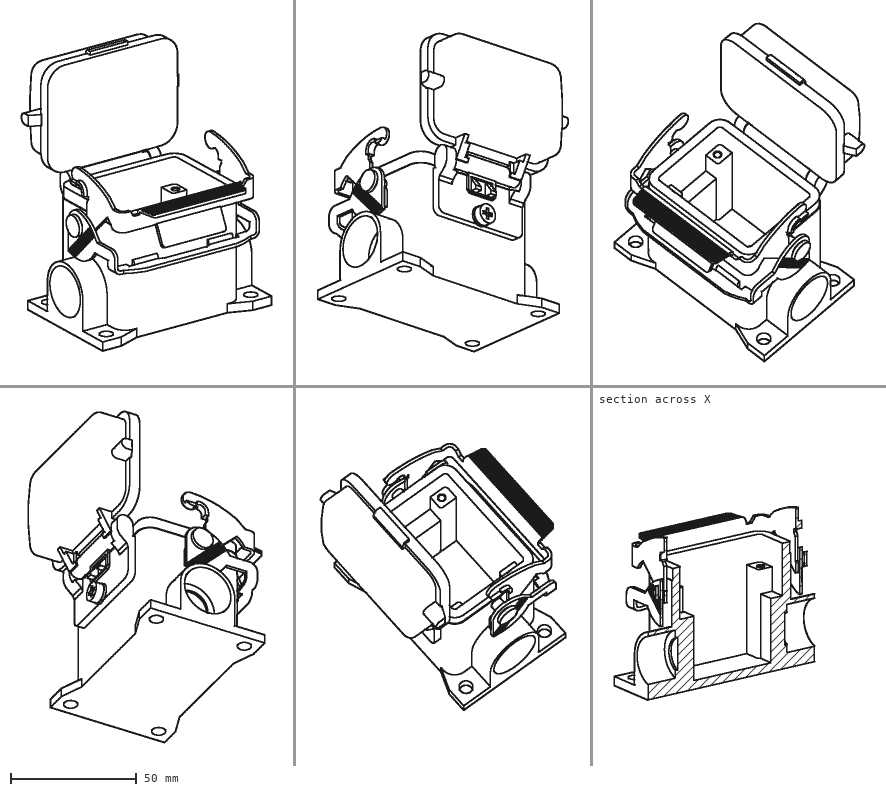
import cadquery as cq
import math

base_length = 51.9
base_width = 82.0
base_height = 3.9
base_notch_x = 22.3
base_notch_y = 22.0
base_shoulder_y = 31.8
mount_hole_diameter = 5.5
mount_hole_spacing_x = 40.0
mount_hole_spacing_y = 70.1

body_length = 44.6
body_width = 58.6
body_height = 52.8
body_corner = 6.0
rim_bottom = 47.8
rim_setback = 0.3

cavity_length = 36.2
cavity_width = 50.1
cavity_corner = 1.5
cavity_floor = base_height
ledge_top = 30.8
ledge_edges = {1: 18.4, -1: 19.4}
post_top = 41.1
post_inner_x = 10.1
post_inner_y = 18.4
post_corner = 1.0
post_hole_x = 27.0 / 2
post_hole_y = 22.0
post_hole_diameter = 2.7
post_countersink = 3.3
post_hole_depth = 10.3

entry_radius = 12.3
entry_height = 16.6
entry_bore_radius = 21.1 / 2
entry_bore_end_y = 27.5
knockout_radius = 15.1 / 2
knockout_depth = 1.0

lid_centre_z = 78.2
flange_face_x = -25.6
flange_back_x = -30.2
flange_width = 63.1
flange_height = 46.0
flange_corner = 8.2
shell_width = 56.9
shell_height = 39.9
shell_corner = 5.3
crown_x = -44.2
crown_sag = 1.6
crown_fillet = 2.8
lid_tab_width = 18.3
lid_tab_tip_x = -28.1
lid_tab_back_x = -31.6
lid_tab_slope_start_z = 99.9
lid_tab_slope_end = (-31.0, 101.7)
lid_tab_round_middle = (-30.5, 102.4)
lid_tab_round_end_x = -29.7
lid_top = 102.7
peg_span = 73.1
peg_size = 4.7
peg_back_x = -36.6
peg_tip_x = -31.8
peg_root_x = -29.6
peg_taper_y = 31.8

bracket_half_width = 22.0
bracket_outer_x = -25.6
bracket_bottom = 26.7
bracket_top = 46.2
bracket_corner = 3.1
ear_inner_y = 17.1
ear_left_x = -30.6
ear_right_x = -23.3
ear_top = 54.9
ear_foot_z = 40.4
ear_curve_top = 48.2
ear_curve_middle = (-30.2, 46.4)
ear_slope_start = (-29.3, 44.8)
ear_slope_end = (-26.3, 42.0)
ear_slope_inner_y = 15.0
barrel_radius = 3.5
barrel_z = 50.7
arm_tip_x = -36.4
arm_top = 59.1
arm_bottom = 49.1
arm_rib_inner_y = 15.0
arm_web_inner_y = 13.0
arm_lug_inner_y = 11.1
arm_web_top = 55.5
arm_lug_bottom = 50.6
lug_setback = 0.5
hinge_web_bottom = 54.0
strip_width = 16.8

catch_outer_x = -26.6
catch_width = 14.2
catch_bottom = 38.9
catch_top = 47.3
catch_corner = 1.2
catch_wall = 1.4
catch_rib_outer_y = 5.3
catch_rib_inner_y = 2.6
catch_tooth_x = -29.0
catch_tooth_bottom = 40.0
catch_tooth_shoulder = 41.5
screw_z = 30.4
screw_tip_x = -30.0
screw_radius = 4.0
washer_radius = 4.2
cross_length = 4.5
cross_width = 1.2
cross_depth = 1.2

pivot_z = 44.0
pin_radius = 2.5
collar_radius = 3.3
pin_head_radius = 4.5
pin_head_inner_y = 35.8
pin_head_outer_y = 37.3
pin_embed = 1.0

sheet = 1.4
cheek_outer_y = 33.0
cheek_inner_y = cheek_outer_y - sheet
cheek_edge_x = 3.5
tongue_left_x = -5.3
tongue_bottom = 32.5
tongue_arc_z = 39.2
tongue_corner = 2.5
tongue_right_x = -3.4
waist_bottom = 54.2
waist_top = 55.9
waist_x = 4.4
back_middle = (8.8, 64.9)
back_end = (17.6, 61.0)
back_foot_x = 21.6
heel_x = 21.3
heel_middle = (20.0, 50.6)
heel_peak = (17.7, 52.8)
hook_x = -3.2
hook_z = 63.4
hook_radius = 3.6
seat_x = -0.1
seat_z = 58.6
seat_radius = 5.0 / 2
lip_outer_y = 34.7
lip_end_z = 57.1
bail_bottom = 48.8
bail_top = 57.4
bail_outer_x = 27.0
bail_inner_x = bail_outer_x - sheet
bail_bend = 3.3
notch_root_y = 23.7
notch_floor_y = 26.4
notch_end_y = 28.3
notch_z = 55.0
handle_tip_x = 35.4
handle_root_y = 23.7
handle_tip_y = 22.3
handle_corner = 1.5
handle_bend = 2.0
groove_count = 7
groove_pitch = 1.0
groove_start_x = 28.4
groove_width = 0.5
groove_depth = 0.4
finger_half_width = 15.4
finger_tip_x = 30.2
finger_tip_z = 39.4
finger_corner = 1.5

lever_outer_y = 35.0
lever_inner_y = lever_outer_y - sheet
lever_left_x = -6.2
lever_left_bottom = 30.6
lever_shoulder_middle = (6.6, 47.9)
lever_shoulder_end = (11.9, 42.9)
lever_shoulder_foot_x = 13.7
lever_belly_start_x = 11.9
lever_belly_middle = (7.4, 31.2)
lever_belly_end = (0.5, 29.3)
lever_heel_middle = (-2.9, 29.7)
pivot_lobe_radius = 6.1
arm_upper_z = 40.9
arm_lower_z = 36.0
arm_end_x = 26.0
arm_end_radius = 3.7
foot_start_x = 21.1
foot_bend_z = 33.9
foot_bend_radius = 3.0
band_count = 6
band_pitch = 0.77
band_groove_width = 0.3
band_groove_depth = 0.3
band_half_length = 20.5
band_angle = 45.0
band_start_z = 31.1
crossbar_outer_x = 29.2
crossbar_outer_middle = (27.8, 26.8)
crossbar_outer_start_y = 30.8
crossbar_outer_end_y = 22.1
crossbar_inner_x = 23.8
crossbar_window_x = 25.0
crossbar_window_y = 10.2
crossbar_bevel_y = 12.3
crossbar_heel_x = 21.7
crossbar_heel_y = 26.5
stop_y_range = (12.3, 23.9)
stop_z_range = (29.3, 33.9)
stop_thickness = 1.1
stop_round = 1.0
stop_embed = 1.0


def box(x_range, y_range, z_range):
    """Box between two limits on every axis."""
    spans = [(min(r), max(r)) for r in (x_range, y_range, z_range)]
    size = [high - low for low, high in spans]
    start = [low for low, high in spans]
    return cq.Workplane("XY").box(*size, centered=False).translate(tuple(start))


def side_plane(y):
    """XZ sketch plane at the given Y."""
    return cq.Workplane("XZ", origin=(0, y, 0))


def along_y(sketch, y_range):
    """Extrude an XZ sketch lying at the first Y towards the second."""
    return sketch.extrude(y_range[0] - y_range[1])


def prism(points, y_range):
    """Straight-sided XZ outline extruded along Y."""
    return along_y(side_plane(y_range[0]).polyline(points).close(), y_range)


def rod(x, z, radius, y_range):
    """Cylinder along Y."""
    return along_y(side_plane(y_range[0]).center(x, z).circle(radius), y_range)


def both_sides(part):
    """Part together with its mirror image across the XZ plane."""
    return part.union(part.mirror("XZ"))


def rounded_block(length, width, height, corner, bottom):
    return (cq.Workplane("XY", origin=(0, 0, bottom)).rect(length, width).extrude(height)
            .edges("|Z").fillet(corner))


def make_housing():
    half_length = base_length / 2
    half_width = base_width / 2
    quarter = [(half_length, half_width), (half_length, base_shoulder_y), (base_notch_x, base_notch_y)]
    right = quarter + [(x, -y) for x, y in reversed(quarter)]
    left = [(-x, -y) for x, y in right]
    plate = cq.Workplane("XY").polyline(right + left).close().extrude(base_height)

    housing = plate.union(rounded_block(body_length, body_width, rim_bottom, body_corner, 0))
    housing = housing.union(rounded_block(body_length - 2 * rim_setback, body_width - 2 * rim_setback,
                                          body_height, body_corner - rim_setback, 0))

    entry_span = (-half_width, half_width)
    housing = housing.union(rod(0, entry_height, entry_radius, entry_span))
    housing = housing.union(box((-entry_radius, entry_radius), entry_span, (0, entry_height)))

    housing = housing.cut(rounded_block(cavity_length, cavity_width, body_height, cavity_corner,
                                        cavity_floor))
    housing = housing.union(make_cavity_supports())

    bore = rod(0, entry_height, entry_bore_radius, (entry_bore_end_y, half_width))
    bore = bore.union(rod(0, entry_height, knockout_radius,
                          (entry_bore_end_y - knockout_depth, half_width)))
    mount_holes = (cq.Workplane("XY").rect(mount_hole_spacing_x, mount_hole_spacing_y, forConstruction=True)
                   .vertices().circle(mount_hole_diameter / 2).extrude(base_height))
    return housing.cut(both_sides(bore)).cut(mount_holes)


def make_cavity_supports():
    """End ledges and the four screw posts inside the housing."""
    wall_x = cavity_length / 2 + cavity_corner
    wall_y = cavity_width / 2 + cavity_corner
    post = box((post_inner_x, wall_x), (post_inner_y, wall_y), (cavity_floor, post_top))
    post = post.edges("|Z and <X and <Y").fillet(post_corner)
    hole = (cq.Workplane("XY", origin=(post_hole_x, post_hole_y, post_top))
            .circle(post_hole_diameter / 2).extrude(-post_hole_depth))
    sink_depth = (post_countersink - post_hole_diameter) / 2
    sink = (cq.Workplane("XY", origin=(post_hole_x, post_hole_y, post_top))
            .circle(post_countersink / 2).extrude(-sink_depth, taper=45))
    posts = both_sides(post.cut(hole).cut(sink))
    supports = posts.union(posts.mirror("YZ"))
    for side, edge in ledge_edges.items():
        ledge = box((-post_inner_x, post_inner_x), (side * edge, side * wall_y), (cavity_floor, ledge_top))
        supports = supports.union(ledge)
    return supports


def make_lid():
    flange = (cq.Workplane("YZ", origin=(flange_back_x, 0, lid_centre_z))
              .rect(flange_width, flange_height).extrude(flange_face_x - flange_back_x)
              .edges("|X").fillet(flange_corner))

    low = lid_centre_z - shell_height / 2
    high = lid_centre_z + shell_height / 2
    crown_edge_x = crown_x + crown_sag
    outline = (side_plane(-shell_width / 2).moveTo(flange_back_x, low).lineTo(crown_edge_x, low)
               .threePointArc((crown_x, lid_centre_z), (crown_edge_x, high))
               .lineTo(flange_back_x, high).close())
    shell = along_y(outline, (-shell_width / 2, shell_width / 2))
    shell = shell.edges("|X").fillet(shell_corner)
    shell = shell.faces("<X").edges().fillet(crown_fillet)

    tab_root = high - shell_corner / 2
    tab_outline = (side_plane(-lid_tab_width / 2).moveTo(lid_tab_tip_x, tab_root)
                   .lineTo(lid_tab_back_x, tab_root).lineTo(lid_tab_back_x, lid_tab_slope_start_z)
                   .lineTo(*lid_tab_slope_end)
                   .threePointArc(lid_tab_round_middle, (lid_tab_round_end_x, lid_top))
                   .lineTo(lid_tab_tip_x, lid_top).close())
    tab = along_y(tab_outline, (-lid_tab_width / 2, lid_tab_width / 2))
    return flange.union(shell).union(tab).union(make_lid_pegs())


def make_lid_pegs():
    """Locking pegs with a rounded back, tapered at the outer end on the flange side."""
    half_span = peg_span / 2
    radius = peg_size / 2
    plan = [(peg_back_x, 0), (peg_root_x, 0), (peg_root_x, peg_taper_y),
            (peg_tip_x, half_span), (peg_back_x, half_span)]
    taper = (cq.Workplane("XY", origin=(0, 0, lid_centre_z - radius))
             .polyline(plan).close().extrude(peg_size))
    section = rod(peg_back_x + radius, lid_centre_z, radius, (0, half_span))
    section = section.union(box((peg_back_x + radius, peg_root_x), (0, half_span),
                                (lid_centre_z - radius, lid_centre_z + radius)))
    return both_sides(taper.intersect(section))


def make_bracket():
    wall_x = -body_length / 2 + rim_setback
    plate = box((bracket_outer_x, wall_x), (-bracket_half_width, bracket_half_width),
                (bracket_bottom, bracket_top))
    plate = plate.edges("|X and <Z").fillet(bracket_corner)
    strip = box((ear_right_x, wall_x), (-strip_width / 2, strip_width / 2), (bracket_top, rim_bottom))
    ear_radius = (ear_right_x - ear_left_x) / 2
    ear_round_z = ear_top - ear_radius
    ear_base_z = bracket_bottom + bracket_corner
    ear_outline = (side_plane(ear_inner_y).moveTo(ear_right_x, ear_base_z)
                   .lineTo(ear_right_x, ear_round_z)
                   .threePointArc((ear_right_x - ear_radius, ear_top), (ear_left_x, ear_round_z))
                   .lineTo(ear_left_x, ear_curve_top)
                   .threePointArc(ear_curve_middle, ear_slope_start).lineTo(*ear_slope_end)
                   .lineTo(bracket_outer_x, ear_foot_z)
                   .lineTo(bracket_outer_x, ear_base_z).close())
    ear = along_y(ear_outline, (ear_inner_y, bracket_half_width))
    gusset = prism([(bracket_outer_x, ear_foot_z), ear_slope_end, ear_slope_start,
                    (bracket_outer_x, bracket_top)], (ear_slope_inner_y, ear_inner_y))
    return plate.union(strip).union(both_sides(ear.union(gusset)))


def make_hinge():
    """Hinge barrel and the two arms that carry the lid."""
    barrel_x = (ear_left_x + ear_right_x) / 2
    barrel = rod(barrel_x, barrel_z, barrel_radius, (-ear_inner_y, ear_inner_y))
    slope = (ear_left_x - arm_tip_x) / (arm_top - arm_bottom)
    web_tip_x = arm_tip_x + slope * (arm_top - arm_web_top)
    rib = prism([(arm_tip_x, arm_top), (flange_face_x, arm_top), (barrel_x, arm_bottom),
                 (ear_left_x, arm_bottom)], (arm_rib_inner_y, ear_inner_y))
    web = prism([(web_tip_x, arm_web_top), (barrel_x, arm_web_top), (barrel_x, arm_bottom),
                 (ear_left_x, arm_bottom)], (arm_lug_inner_y, ear_inner_y))
    lug_face_x = flange_back_x - lug_setback
    relief = box((arm_tip_x, lug_face_x), (arm_lug_inner_y, arm_web_inner_y), (arm_lug_bottom, arm_web_top))
    centre_web = box((flange_back_x, barrel_x), (-ear_inner_y, ear_inner_y), (hinge_web_bottom, arm_web_top))
    return barrel.union(centre_web).union(both_sides(rib.union(web.cut(relief))))


def make_catch():
    """Framed catch with two sloping teeth in the middle of the bracket."""
    half = catch_width / 2
    frame = box((catch_outer_x, bracket_outer_x), (-half, half), (catch_bottom, catch_top))
    frame = frame.edges("|X and <Z").chamfer(catch_corner)
    window = box((catch_outer_x, bracket_outer_x), (catch_wall - half, half - catch_wall),
                 (catch_bottom + catch_wall / 2, catch_top - catch_wall))
    tooth = prism([(bracket_outer_x, catch_tooth_bottom), (catch_tooth_x, catch_tooth_bottom),
                   (catch_tooth_x, catch_tooth_shoulder), (bracket_outer_x, catch_top - catch_wall)],
                  (catch_rib_inner_y, catch_rib_outer_y))
    return frame.cut(window).union(both_sides(tooth))


def make_screw():
    washer = (cq.Workplane("YZ", origin=(catch_outer_x, 0, screw_z))
              .circle(washer_radius).extrude(bracket_outer_x - catch_outer_x))
    head = (cq.Workplane("YZ", origin=(screw_tip_x, 0, screw_z))
            .circle(screw_radius).extrude(bracket_outer_x - screw_tip_x))
    cross = (cq.Workplane("YZ", origin=(screw_tip_x, 0, screw_z))
             .rect(cross_length, cross_width).extrude(cross_depth))
    cross = cross.union(cq.Workplane("YZ", origin=(screw_tip_x, 0, screw_z))
                        .rect(cross_width, cross_length).extrude(cross_depth))
    return washer.union(head).cut(cross)


def make_pivot_pins():
    shaft = rod(0, pivot_z, pin_radius, (body_width / 2 - pin_embed, lever_outer_y))
    collar = rod(0, pivot_z, collar_radius, (lever_inner_y, pin_head_inner_y))
    head = rod(0, pivot_z, pin_head_radius, (pin_head_inner_y, pin_head_outer_y))
    return both_sides(shaft.union(collar).union(head))


def make_bail_cheek():
    """Cheek plate on the +Y side with its hook and outward lip."""
    lean = math.atan2(seat_z - hook_z, seat_x - hook_x)
    touch = (hook_x + hook_radius * math.cos(lean), hook_z + hook_radius * math.sin(lean))
    corner_shift = tongue_corner * (1 - math.sqrt(0.5))
    tongue_top = tongue_arc_z + tongue_corner
    outline = (
        side_plane(cheek_inner_y).moveTo(tongue_left_x, tongue_bottom)
        .lineTo(tongue_left_x, tongue_arc_z)
        .threePointArc((tongue_left_x + corner_shift, tongue_top - corner_shift),
                       (tongue_left_x + tongue_corner, tongue_top))
        .lineTo(0, tongue_top)
        .lineTo(0, pivot_z)
        .lineTo(cheek_edge_x, pivot_z)
        .lineTo(cheek_edge_x, waist_bottom)
        .lineTo(waist_x, waist_top)
        .lineTo(waist_x, lip_end_z)
        .lineTo(seat_x + seat_radius, lip_end_z)
        .lineTo(seat_x + seat_radius, seat_z)
        .threePointArc((seat_x, seat_z + seat_radius), touch)
        .threePointArc((hook_x - hook_radius, hook_z), (hook_x, hook_z + hook_radius))
        .threePointArc(back_middle, back_end)
        .lineTo(back_foot_x, bail_top)
        .lineTo(bail_outer_x - bail_bend, bail_top)
        .lineTo(bail_outer_x - bail_bend, bail_bottom)
        .lineTo(heel_x, bail_bottom)
        .threePointArc(heel_middle, heel_peak)
        .lineTo(tongue_right_x, tongue_bottom)
        .close()
    )
    cheek = along_y(outline, (cheek_inner_y, cheek_outer_y))

    lip_span = (cheek_inner_y, lip_outer_y)
    lip_radius = seat_radius + sheet
    lip = rod(seat_x, seat_z, lip_radius, lip_span)
    lip = lip.intersect(box((touch[0], seat_x + lip_radius), lip_span, (seat_z, hook_z)))
    lip = lip.union(box((seat_x, seat_x + lip_radius), lip_span, (lip_end_z, seat_z)))
    hook_bottom = hook_z - hook_radius
    hook_lip = rod(hook_x, hook_z, hook_radius, lip_span)
    lip = lip.union(hook_lip.intersect(box((hook_x - hook_radius, touch[0]), lip_span,
                                           (hook_bottom, hook_bottom + sheet))))
    lip = lip.cut(rod(seat_x, seat_z, seat_radius, lip_span))
    lip = lip.cut(box((seat_x - seat_radius, seat_x + seat_radius), lip_span, (lip_end_z, seat_z)))
    return cheek.union(lip)


def make_bail():
    bend_start_x = bail_outer_x - bail_bend
    wall_height = (bail_bottom, bail_top)
    wrap = box((0, bail_outer_x), (-cheek_outer_y, cheek_outer_y), wall_height)
    wrap = wrap.edges("|Z and >X").fillet(bail_bend)
    inside = box((0, bail_inner_x), (-cheek_inner_y, cheek_inner_y), wall_height)
    inside = inside.edges("|Z and >X").fillet(bail_bend - sheet)
    wall = wrap.cut(inside).cut(box((0, bend_start_x), (-cheek_outer_y, cheek_outer_y), wall_height))

    notch = (cq.Workplane("YZ", origin=(bail_inner_x, 0, 0))
             .polyline([(notch_root_y, notch_z), (notch_floor_y, notch_z), (notch_end_y, bail_top),
                        (notch_root_y, bail_top)]).close().extrude(sheet))
    wall = wall.cut(both_sides(notch))

    plan = [(bail_inner_x, -handle_root_y), (bail_outer_x, -handle_root_y), (handle_tip_x, -handle_tip_y),
            (handle_tip_x, handle_tip_y), (bail_outer_x, handle_root_y), (bail_inner_x, handle_root_y)]
    handle = (cq.Workplane("XY", origin=(0, 0, bail_top - sheet)).polyline(plan).close().extrude(sheet)
              .edges("|Z and >X").fillet(handle_corner))
    for index in range(groove_count):
        x = groove_start_x + index * groove_pitch
        handle = handle.cut(box((x, x + groove_width), (-handle_root_y, handle_root_y),
                                (bail_top - groove_depth, bail_top)))
    grip = wall.union(handle)
    outside_bend = box((bail_inner_x, bail_inner_x + handle_bend), (-handle_root_y, handle_root_y),
                       (bail_top - handle_bend, bail_top))
    outside_bend = outside_bend.cut(rod(bail_inner_x + handle_bend, bail_top - handle_bend, handle_bend,
                                        (-handle_root_y, handle_root_y)))
    grip = grip.cut(outside_bend)
    return grip.union(make_finger_tab()).union(both_sides(make_bail_cheek()))


def make_finger_tab():
    """Tab sloping down and outward from the lower edge of the bail wall."""
    run = finger_tip_x - bail_inner_x
    drop = bail_bottom - finger_tip_z
    length = math.hypot(run, drop)
    lean = math.degrees(math.atan2(run, drop))
    tab = box((0, sheet), (-finger_half_width, finger_half_width), (-length, 0))
    tab = tab.edges("|X and <Z").fillet(finger_corner)
    return tab.rotate((0, 0, 0), (0, 1, 0), -lean).translate((bail_inner_x, 0, bail_bottom))


def make_lever_cheek():
    """Spring lever plate on the +Y side with its grooved diagonal band."""
    lobe_diagonal = pivot_lobe_radius * math.sqrt(0.5)
    end_shift = arm_end_radius * (1 - math.sqrt(0.5))
    outline = (
        side_plane(lever_inner_y).moveTo(lever_left_x, lever_left_bottom)
        .lineTo(lever_left_x, pivot_z)
        .threePointArc((-lobe_diagonal, pivot_z + lobe_diagonal), (0, pivot_z + pivot_lobe_radius))
        .threePointArc(lever_shoulder_middle, lever_shoulder_end)
        .lineTo(lever_shoulder_foot_x, arm_upper_z)
        .lineTo(arm_end_x - arm_end_radius, arm_upper_z)
        .threePointArc((arm_end_x - end_shift, arm_upper_z - end_shift),
                       (arm_end_x, arm_upper_z - arm_end_radius))
        .lineTo(arm_end_x, foot_bend_z)
        .lineTo(foot_start_x, foot_bend_z)
        .lineTo(foot_start_x, arm_lower_z)
        .lineTo(lever_belly_start_x, arm_lower_z)
        .threePointArc(lever_belly_middle, lever_belly_end)
        .threePointArc(lever_heel_middle, (lever_left_x, lever_left_bottom))
        .close()
    )
    plate = along_y(outline, (lever_inner_y, lever_outer_y))
    floor_y = lever_outer_y - band_groove_depth
    for index in range(band_count):
        groove = box((-band_half_length, band_half_length), (floor_y, lever_outer_y), (-band_groove_width, 0))
        groove = groove.translate((0, 0, -index * band_pitch))
        groove = groove.rotate((0, 0, 0), (0, 1, 0), -band_angle).translate((lever_left_x, 0, band_start_z))
        plate = plate.cut(groove)
    return plate


def make_lever():
    bend_centre_y = lever_outer_y - foot_bend_radius
    foot_bottom = foot_bend_z - foot_bend_radius
    foot_top = foot_bottom + sheet
    foot_span = (foot_start_x, arm_end_x)
    bend = (cq.Workplane("YZ", origin=(foot_start_x, bend_centre_y, foot_bend_z))
            .circle(foot_bend_radius).circle(foot_bend_radius - sheet).extrude(arm_end_x - foot_start_x))
    bend = bend.intersect(box(foot_span, (bend_centre_y, lever_outer_y), (foot_bottom, foot_bend_z)))

    half_plan = (
        cq.Workplane("XY", origin=(0, 0, foot_bottom)).moveTo(foot_start_x, bend_centre_y)
        .lineTo(arm_end_x, bend_centre_y)
        .lineTo(arm_end_x, crossbar_outer_start_y)
        .threePointArc(crossbar_outer_middle, (crossbar_outer_x, crossbar_outer_end_y))
        .lineTo(crossbar_outer_x, 0)
        .lineTo(crossbar_window_x, 0)
        .lineTo(crossbar_window_x, crossbar_window_y)
        .lineTo(crossbar_inner_x, crossbar_bevel_y)
        .lineTo(crossbar_inner_x, crossbar_heel_y)
        .lineTo(crossbar_heel_x, crossbar_heel_y)
        .close()
    )
    crossbar = half_plan.extrude(foot_top - foot_bottom)
    return both_sides(make_lever_cheek().union(bend).union(crossbar))


def make_lever_stops():
    """Pads on the +X wall that the lever crossbar rests on."""
    wall_x = body_length / 2
    stop = box((wall_x - stop_embed, wall_x + stop_thickness), stop_y_range, stop_z_range)
    return both_sides(stop.edges("|Y and >X and >Z").fillet(stop_round))


result = make_housing()
for component in (make_bracket(), make_hinge(), make_lid(), make_catch(), make_screw(),
                  make_pivot_pins(), make_bail(), make_lever(), make_lever_stops()):
    result = result.union(component)